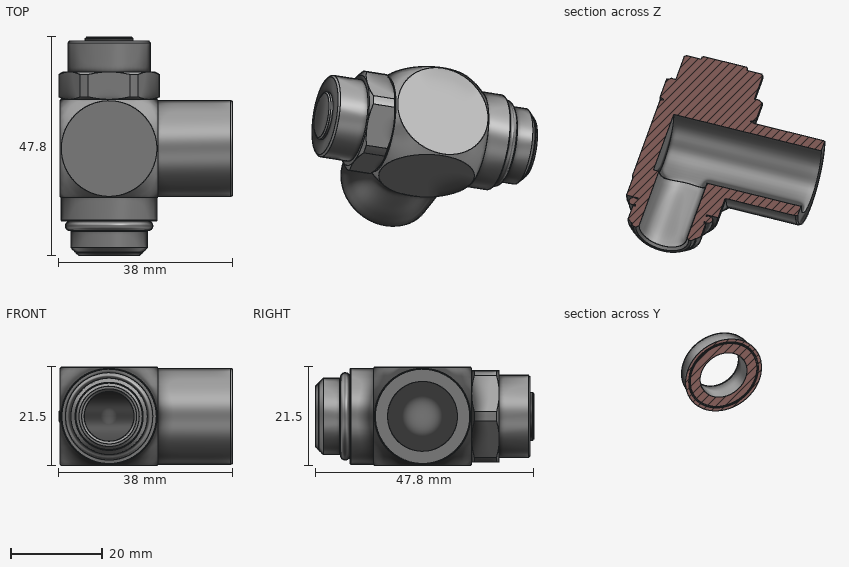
import cadquery as cq
import math

body_side = 21.5
body_half = body_side / 2
face_disc_radius = 10.45
sphere_radius = math.hypot(body_half, face_disc_radius)

port_radius = 10.5
port_end_x = 27.0
port_chamfer_length = 0.45
port_chamfer_depth = 0.2
port_bore_radius = 7.65
port_bore_floor_x = -6.7

flange_end_y = -15.85
flange_radius = 10.5
flange_chamfer = 0.2
groove_end_y = -17.95
groove_radius = 7.9
thread_radius = 8.35
thread_edge_chamfer = 0.2
thread_end_y = -21.7
lead_in_end_y = -22.6
lead_in_radius = 7.45
nose_radius = 7.25
nose_chamfer_y = -22.8
bottom_y = -23.4
tip_radius = 6.6

ring_outer_radius = 9.55
ring_section_radius = 1.0
ring_y = (flange_end_y + groove_end_y) / 2

inlet_radius = 5.45
inlet_chamfer = 0.55

hex_end_y = 16.8
hex_across_flats = 20.0
hex_corner_radius = 11.0
hex_chamfer_length = 0.55
cap_end_y = 23.55
cap_radius = 9.05
cap_chamfer = 0.45
button_end_y = bottom_y + 47.8
button_radius = 5.25
button_chamfer = 0.35


def turned_about_y(points):
    """Revolve a (radius, y) outline, closed along the axis, about the Y axis."""
    outline = [(0, points[0][1])] + points + [(0, points[-1][1])]
    return cq.Workplane("XY").polyline(outline).close().revolve(360, (0, 0, 0), (0, 1, 0))


def make_body():
    cube = cq.Workplane("XY").box(body_side, body_side, body_side)
    return cube.intersect(cq.Workplane("XY").sphere(sphere_radius))


def make_port():
    port = cq.Workplane("YZ").circle(port_radius).extrude(port_end_x)
    return port.faces(">X").edges().chamfer(port_chamfer_length, port_chamfer_depth)


def make_threaded_end():
    return turned_about_y([
        (flange_radius, -body_half),
        (flange_radius, flange_end_y + flange_chamfer),
        (flange_radius - flange_chamfer, flange_end_y),
        (groove_radius, flange_end_y),
        (groove_radius, groove_end_y),
        (thread_radius - thread_edge_chamfer, groove_end_y),
        (thread_radius, groove_end_y - thread_edge_chamfer),
        (thread_radius, thread_end_y),
        (lead_in_radius, lead_in_end_y),
        (nose_radius, lead_in_end_y),
        (nose_radius, nose_chamfer_y),
        (tip_radius, bottom_y),
    ])


def make_o_ring():
    section = cq.Workplane("XY").center(ring_outer_radius - ring_section_radius, ring_y)
    axis_x = ring_section_radius - ring_outer_radius
    return section.circle(ring_section_radius).revolve(360, (axis_x, 0), (axis_x, 1))


def make_hexagon():
    """Hexagon with flats on +Z and -Z, its corners turned down and chamfered."""
    length = hex_end_y - body_half
    corner_diameter = hex_across_flats / math.cos(math.pi / 6)
    prism = cq.Workplane("XZ", origin=(0, hex_end_y, 0)).polygon(6, corner_diameter).extrude(length)
    end_radius = hex_across_flats / 2
    envelope = turned_about_y([
        (end_radius, body_half),
        (hex_corner_radius, body_half + hex_chamfer_length),
        (hex_corner_radius, hex_end_y - hex_chamfer_length),
        (end_radius, hex_end_y),
    ])
    return prism.intersect(envelope)


def make_cap():
    return turned_about_y([
        (cap_radius, hex_end_y),
        (cap_radius, cap_end_y - cap_chamfer),
        (cap_radius - cap_chamfer, cap_end_y),
        (button_radius, cap_end_y),
        (button_radius, button_end_y - button_chamfer),
        (button_radius - button_chamfer, button_end_y),
    ])


def make_port_bore():
    start = cq.Workplane("YZ", origin=(port_bore_floor_x, 0, 0))
    return start.circle(port_bore_radius).extrude(port_end_x - port_bore_floor_x)


def make_inlet_bore():
    """Bore from the threaded end up to the middle of the port bore."""
    return turned_about_y([
        (inlet_radius + inlet_chamfer, bottom_y),
        (inlet_radius, bottom_y + inlet_chamfer),
        (inlet_radius, 0),
    ])


result = make_body()
for piece in (make_port(), make_threaded_end(), make_o_ring(), make_hexagon(), make_cap()):
    result = result.union(piece)
for bore in (make_port_bore(), make_inlet_bore()):
    result = result.cut(bore)